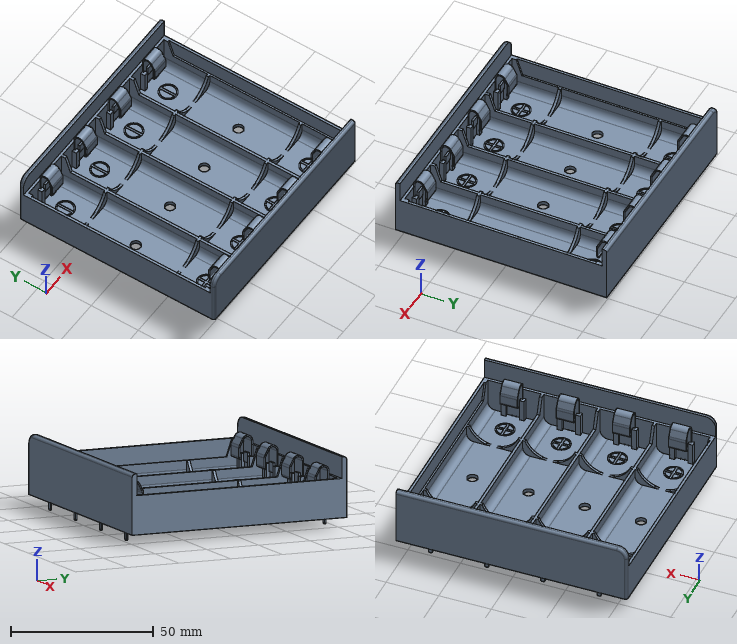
import cadquery as cq
import math

LENGTH = 88.0
DEPTH = 83.0
BOX_HEIGHT = 14.1
PLATE_HEIGHT = 21.8
PLATE_THICKNESS = 1.85
PLATE_CORNER_RADIUS = 4.0
PLATE_EDGE_RADIUS = 1.1

BAY_COUNT = 4
BAY_WIDTH = 20.3
BAY_PITCH = 21.4
BAY_FILLET = 2.9
END_WALL = 2.9
FLOOR = 1.5
BAY_LENGTH = DEPTH - 2 * END_WALL
BAY_END = BAY_LENGTH / 2
BAY_CENTRES = [(i - (BAY_COUNT - 1) / 2) * BAY_PITCH for i in range(BAY_COUNT)]

LOW_WALL_HEIGHT = 7.7
SIDE_RIM = 1.1
LOW_WALL_SPAN = LENGTH - 2 * SIDE_RIM
SLOPE_TOP_FROM_END = 1.7
SLOPE_RUN = 2.2

RIB_Y = 19.6
RIB_THICKNESS = 1.1
RIB_GAP = 2.7
CRADLE_RADIUS = 10.1

FLOOR_HOLE_DIAMETER = 4.0
MARK_OUTER_DIAMETER = 7.0
MARK_INNER_DIAMETER = 6.0
MARK_STROKE = 0.9
MARK_DEPTH = 0.2
MARK_Y = 29.9

SHEET = 0.5
CONTACT_WIDTH = 6.6
ARCH_RADIUS = 2.1
ARCH_TOP = 17.6
SLOPE_ANGLE = 62.0
CONTACT_REACH = 5.5
CONTACT_TIP_Z = 9.0
BEND_RADIUS = 1.8
HOOK_RADIUS = 0.7
TAB_WIDTH = 3.3
TAB_LOW_Z = 7.4
TAB_HIGH_Z = 10.9
TAB_PROUD = 0.8
PIN_WIDTH = 1.5
PIN_LENGTH = 4.0
PIN_CORNER = 0.35

POST_HEIGHT = 10.0
POST_OUTER = 4.4
POST_INNER = 2.55
POST_DEPTH = 1.8


def block(x_size, y_size, z_low, z_high, x=0.0, y=0.0):
    """Upright block centred on (x, y) between two heights."""
    return cq.Workplane("XY", origin=(x, y, z_low)).rect(x_size, y_size).extrude(z_high - z_low)


def mirrored_y(shape):
    """The shape together with its copy on the other side of Y = 0."""
    return [shape, shape.mirror("XZ")]


def end_plate():
    """Tall plate at -Y, rounded over along its -X and top outer edges."""
    plate = block(LENGTH, PLATE_THICKNESS, 0, PLATE_HEIGHT, y=(PLATE_THICKNESS - DEPTH) / 2)
    plate = plate.edges("<X and >Z").fillet(PLATE_CORNER_RADIUS)
    top_edge_point = (0, -DEPTH / 2, PLATE_HEIGHT)
    rounded_edge = plate.edges(cq.selectors.NearestToPointSelector(top_edge_point))
    return rounded_edge.fillet(PLATE_EDGE_RADIUS)


def bay(x):
    """Cavity of one bay, with rounded lower edges along its length."""
    cavity = block(BAY_WIDTH, BAY_LENGTH, FLOOR, BOX_HEIGHT, x=x)
    return cavity.edges("|Y and <Z").fillet(BAY_FILLET)


def low_wall_cut():
    """Trapezoid, extruded along X, that lowers the walls between the bay ends."""
    top_y = BAY_END - SLOPE_TOP_FROM_END
    low_y = top_y - SLOPE_RUN
    outline = [
        (-top_y, BOX_HEIGHT),
        (-low_y, LOW_WALL_HEIGHT),
        (low_y, LOW_WALL_HEIGHT),
        (top_y, BOX_HEIGHT),
    ]
    return cq.Workplane("YZ").polyline(outline).close().extrude(LOW_WALL_SPAN / 2, both=True)


def cradle_rib(x, y):
    """Rib across a bay, hollowed by the battery's cylinder, which leaves a gap at the floor."""
    axis_z = FLOOR + math.sqrt(CRADLE_RADIUS**2 - (RIB_GAP / 2) ** 2)
    rib = block(BAY_WIDTH, RIB_THICKNESS, FLOOR, LOW_WALL_HEIGHT, x=x, y=y)
    battery = (
        cq.Workplane("XZ", origin=(x, y, axis_z)).circle(CRADLE_RADIUS).extrude(RIB_THICKNESS, both=True)
    )
    return rib.cut(battery)


def polarity_mark(x, y, is_plus):
    """Engraving tool for a ring around a plus or a minus sign."""
    plane = cq.Workplane("XY", origin=(x, y, FLOOR - MARK_DEPTH))
    mark = plane.circle(MARK_OUTER_DIAMETER / 2).circle(MARK_INNER_DIAMETER / 2).extrude(MARK_DEPTH)
    mark = mark.union(plane.rect(MARK_STROKE, MARK_INNER_DIAMETER).extrude(MARK_DEPTH))
    if is_plus:
        mark = mark.union(plane.rect(MARK_INNER_DIAMETER, MARK_STROKE).extrude(MARK_DEPTH))
    return mark


def guide_post(x, side):
    """Post at the -Y end of a bay, beside the contact and hooked over its edge."""
    width = POST_OUTER - POST_INNER
    centre_x = x + side * (POST_OUTER + POST_INNER) / 2
    return block(width, POST_DEPTH, FLOOR, POST_HEIGHT, x=centre_x, y=POST_DEPTH / 2 - BAY_END)


def spring_path(x):
    """Mid-line of the spring strip: up the wall, over the arch, down a slope and into a hook."""
    half_sheet = SHEET / 2
    start_y = half_sheet - BAY_END
    radius = ARCH_RADIUS - half_sheet
    centre_y = start_y + radius
    centre_z = ARCH_TOP - ARCH_RADIUS
    slope = math.radians(SLOPE_ANGLE)
    slope_start_y = centre_y + radius * math.sin(slope)
    slope_start_z = centre_z + radius * math.cos(slope)

    front_y = CONTACT_REACH - half_sheet - BAY_END
    corner_z = slope_start_z - (front_y - slope_start_y) * math.tan(slope)
    bend_tangent = BEND_RADIUS * math.tan((math.pi / 2 - slope) / 2)
    bend_start_y = front_y - bend_tangent * math.cos(slope)
    bend_start_z = corner_z + bend_tangent * math.sin(slope)
    hook_end_z = CONTACT_TIP_Z + half_sheet
    return (
        cq.Workplane("YZ", origin=(x, 0, 0))
        .moveTo(start_y, FLOOR)
        .lineTo(start_y, centre_z)
        .threePointArc((centre_y, centre_z + radius), (slope_start_y, slope_start_z))
        .lineTo(bend_start_y, bend_start_z)
        .tangentArcPoint((front_y, corner_z - bend_tangent), relative=False)
        .lineTo(front_y, hook_end_z + HOOK_RADIUS)
        .tangentArcPoint((front_y - HOOK_RADIUS, hook_end_z), relative=False)
    )


def contact(x):
    """Spring contact at the -Y end of the bay centred on x, with its tab and solder pin."""
    sheet_y = SHEET / 2 - BAY_END
    strip = (
        cq.Workplane("XY", origin=(x, sheet_y, FLOOR)).rect(CONTACT_WIDTH, SHEET).sweep(spring_path(x))
    )
    pin = block(PIN_WIDTH, SHEET, -PIN_LENGTH, FLOOR, x=x, y=sheet_y)
    pin = pin.edges("|Y and <Z").chamfer(PIN_CORNER)
    tab_y = SHEET + TAB_PROUD / 2 - BAY_END
    tab = block(TAB_WIDTH, TAB_PROUD, TAB_LOW_Z, TAB_HIGH_Z, x=x, y=tab_y)
    return strip.union(pin).union(tab)


def build_housing(contacts):
    """Tray with end plates, bays, ribs, posts, holes and marks, slotted for the contacts."""
    box = block(LENGTH, DEPTH - 2 * PLATE_THICKNESS, 0, BOX_HEIGHT)
    for plate in mirrored_y(end_plate()):
        box = box.union(plate)
    box = box.cut(low_wall_cut())
    for x in BAY_CENTRES:
        box = box.cut(bay(x))
    for x in BAY_CENTRES:
        for y in (-RIB_Y, RIB_Y):
            box = box.union(cradle_rib(x, y))
        for side in (-1, 1):
            for post in mirrored_y(guide_post(x, side)):
                box = box.union(post)
        hole = cq.Workplane("XY", origin=(x, 0, 0)).circle(FLOOR_HOLE_DIAMETER / 2).extrude(FLOOR)
        box = box.cut(hole)
        box = box.cut(polarity_mark(x, -MARK_Y, True))
        box = box.cut(polarity_mark(x, MARK_Y, False))
    for each in contacts:
        box = box.cut(each)
    return box


contacts = []
for bay_x in BAY_CENTRES:
    contacts += mirrored_y(contact(bay_x))

housing = build_housing(contacts)

result = cq.Compound.makeCompound([housing.val(), *[each.val() for each in contacts]])